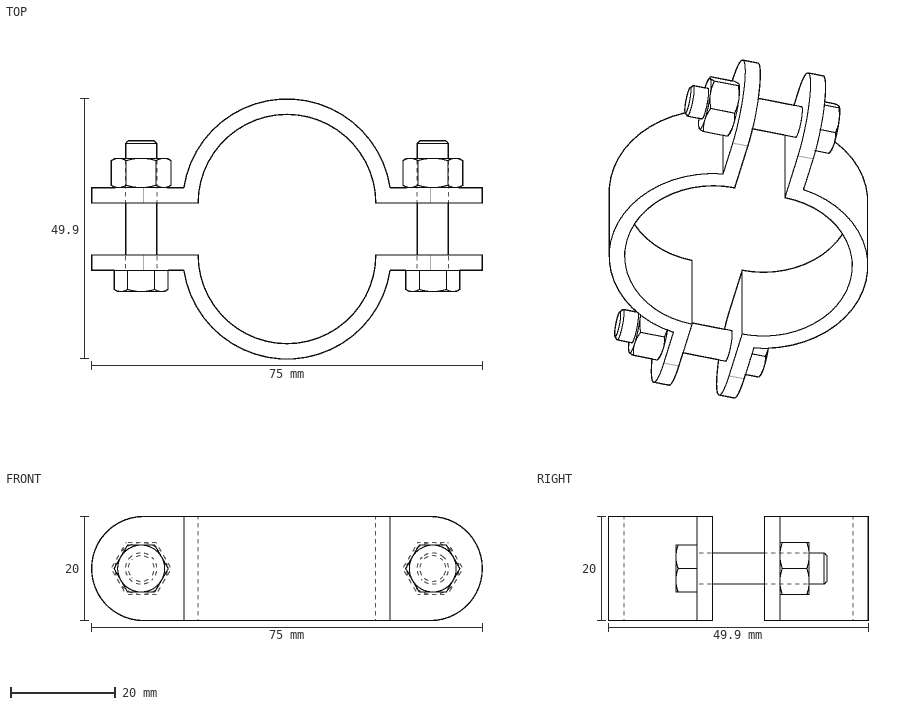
import cadquery as cq
import math

overall_length = 75.0
clamp_width = 20.0
strap_thickness = 3.0
half_gap = 4.95
ring_outer_radius = 20.0
ring_inner_radius = ring_outer_radius - strap_thickness
lug_outer_y = half_gap + strap_thickness

bolt_x = 28.0
shank_diameter = 6.0
tip_diameter = 4.95
tip_chamfer = (shank_diameter - tip_diameter) / 2
tip_projection = 9.0
head_across_flats = 9.0
head_height = 4.05
nut_across_flats = 10.0
nut_height = 5.6
corner_chamfer_angle = 30.0


def cylinder_y(radius, y_start, length):
    """Cylinder about the Y axis, growing toward +Y."""
    return cq.Workplane("XZ", origin=(0, y_start, 0)).circle(radius).extrude(-length)


def hexagon_y(across_flats, y_start, height, bevel_start, bevel_end):
    """Hexagonal prism about the Y axis with its corners turned off at the chosen ends."""
    corner_radius = across_flats / math.sqrt(3)
    flat_radius = across_flats / 2
    bevel = (corner_radius - flat_radius) * math.tan(math.radians(corner_chamfer_angle))
    y_end = y_start + height
    prism = (
        cq.Workplane("XZ", origin=(0, y_start, 0))
        .polygon(6, 2 * corner_radius)
        .extrude(-height)
    )
    profile = [(0, y_start)]
    if bevel_start:
        profile += [(flat_radius, y_start), (corner_radius, y_start + bevel)]
    else:
        profile += [(corner_radius, y_start)]
    if bevel_end:
        profile += [(corner_radius, y_end - bevel), (flat_radius, y_end)]
    else:
        profile += [(corner_radius, y_end)]
    profile += [(0, y_end)]
    envelope = cq.Workplane("XY").polyline(profile).close().revolve(360, (0, 0, 0), (0, 1, 0))
    return prism.intersect(envelope)


def make_clamp_half():
    """Half ring with a drilled, round-ended lug on each side, on the +Y side."""
    lugs = (
        cq.Workplane("XZ", origin=(0, half_gap, 0))
        .slot2D(overall_length, clamp_width)
        .extrude(-strap_thickness)
    )
    ring_base = cq.Workplane("XY", origin=(0, half_gap, -clamp_width / 2))
    half_disc = (
        ring_base.moveTo(-ring_outer_radius, 0)
        .threePointArc((0, ring_outer_radius), (ring_outer_radius, 0))
        .close()
        .extrude(clamp_width)
    )
    bore = ring_base.circle(ring_inner_radius).extrude(clamp_width)
    bolt_holes = (
        cq.Workplane("XZ", origin=(0, half_gap, 0))
        .pushPoints([(-bolt_x, 0), (bolt_x, 0)])
        .circle(shank_diameter / 2)
        .extrude(-strap_thickness)
    )
    return lugs.union(half_disc).cut(bore).cut(bolt_holes)


def make_bolt(x):
    """Hexagon-head bolt pointing toward +Y, its head against the -Y lug."""
    head = hexagon_y(head_across_flats, -lug_outer_y - head_height, head_height, True, False)
    shank_length = 2 * lug_outer_y + tip_projection
    shank = cylinder_y(shank_diameter / 2, -lug_outer_y, shank_length)
    shank = shank.faces(">Y").chamfer(tip_chamfer)
    return head.union(shank).translate((x, 0, 0))


def make_nut(x):
    """Hexagon nut against the +Y lug."""
    nut = hexagon_y(nut_across_flats, lug_outer_y, nut_height, True, True)
    hole = cylinder_y(shank_diameter / 2, lug_outer_y, nut_height)
    return nut.cut(hole).translate((x, 0, 0))


bodies = []
for turn in (0, 180):
    clamp_half = make_clamp_half().rotate((0, 0, 0), (0, 0, 1), turn)
    bodies.append(clamp_half.val())
for side in (-1, 1):
    bolt = make_bolt(side * bolt_x)
    nut = make_nut(side * bolt_x)
    bodies += [bolt.val(), nut.val()]

result = cq.Compound.makeCompound(bodies)